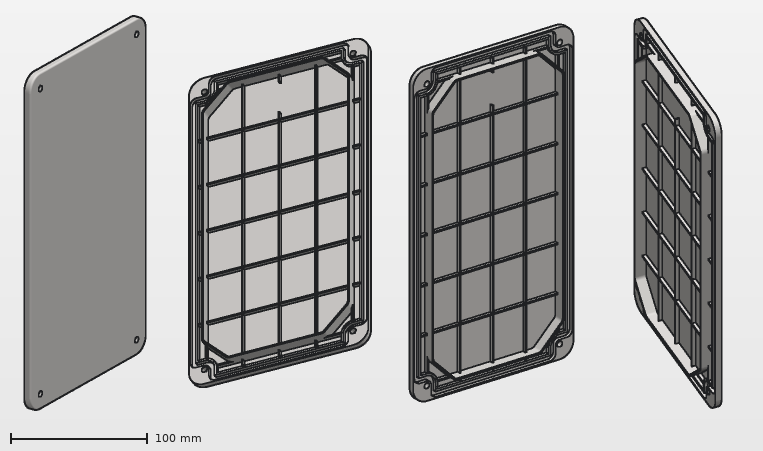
import cadquery as cq

THICKNESS = 11.5
WIDTH = 145.0
HEIGHT = 270.0
HALF_WIDTH = WIDTH / 2
HALF_HEIGHT = HEIGHT / 2

FLANGE_X = 5.75
FLOOR_X = 9.0
TONGUE_X = 6.0
RIB_X = 6.0
FRAME_X = 0.0

CORNER_RADIUS = 12.5
BACK_EDGE_FILLET = 1.5
RIM_WALL = 1.2
SCREW_INSET = CORNER_RADIUS
SCREW_DIAMETER = 4.5
SCREW_PAD_RADIUS = 3.7
POCKET_CORNER_RADIUS = 5.0

TONGUE_GAP = 4.2
TONGUE_WIDTH = 1.8

WALL = 1.2
FRAME_INSET = 13.0
FRAME_CUT = 20.8
FRAME_FILLET = 5.0

CROSS_RIB_WIDTH = 1.2
LONG_RIB_WIDTH = 1.0
CROSS_RIB_PITCH = 40.6
CROSS_RIB_COUNT = 5
LONG_RIB_PITCH = 29.6
LONG_RIB_COUNT = 3
LONG_RIB_END_INSET = 8.5
LABEL_GAP_TOP_INSET = 20.0
LABEL_GAP_LENGTH = 27.0


def at_level(x):
    """YZ sketch plane at the given X."""
    return cq.Workplane("YZ", origin=(x, 0, 0))


def box(x_min, x_max, y_size, z_size, y=0.0, z=0.0):
    """Box between two X levels, centred on (y, z)."""
    return at_level(x_min).center(y, z).rect(y_size, z_size).extrude(x_max - x_min)


def notched_prism(inset, screw_clearance, x_min, x_max, corner_fillet=0.0):
    """Rectangle whose corners are notched around the screws by concentric arcs."""
    body = box(x_min, x_max, WIDTH - 2 * inset, HEIGHT - 2 * inset)
    notch_size = 2 * (SCREW_INSET + screw_clearance)
    notches = (
        at_level(x_min)
        .rect(WIDTH, HEIGHT, forConstruction=True)
        .vertices()
        .rect(notch_size, notch_size)
        .extrude(x_max - x_min)
        .edges("|X")
        .fillet(screw_clearance)
    )
    body = body.cut(notches)
    if corner_fillet > 0:
        y_edge = HALF_WIDTH - inset
        z_edge = HALF_HEIGHT - inset
        y_step = HALF_WIDTH - notch_size / 2
        z_step = HALF_HEIGHT - notch_size / 2
        for y_corner, z_corner in ((y_edge, z_step), (y_step, z_edge)):
            for y_side in (-1, 1):
                for z_side in (-1, 1):
                    point = (x_max, y_side * y_corner, z_side * z_corner)
                    body = body.edges("|X").edges(cq.NearestToPointSelector(point)).fillet(corner_fillet)
    return body


def make_plate():
    plate = box(FLANGE_X, THICKNESS, WIDTH, HEIGHT).edges("|X").fillet(CORNER_RADIUS)
    return plate.faces(">X").edges().fillet(BACK_EDGE_FILLET)


def make_pocket():
    return notched_prism(RIM_WALL, SCREW_PAD_RADIUS, FLANGE_X, FLOOR_X, POCKET_CORNER_RADIUS)


def make_tongue(inner_area):
    outer = notched_prism(RIM_WALL + TONGUE_GAP, SCREW_PAD_RADIUS + TONGUE_GAP, TONGUE_X, FLOOR_X)
    return outer.cut(inner_area)


def make_frame():
    """Tall octagonal wall: a rectangle with cut and rounded corners."""
    y_size = WIDTH - 2 * FRAME_INSET
    z_size = HEIGHT - 2 * FRAME_INSET
    outer = box(FRAME_X, FLOOR_X, y_size, z_size).edges("|X").chamfer(FRAME_CUT)
    outer = outer.edges("|X").fillet(FRAME_FILLET)
    inner = outer.faces("<X").wires().toPending().offset2D(-WALL).extrude(FLOOR_X - FRAME_X, combine=False)
    return outer.cut(inner)


def make_ribs():
    """Rib grid and the low rectangle of ribs that carries the frame into the corners."""
    ribs = box(RIB_X, FLOOR_X, WIDTH - 2 * FRAME_INSET, HEIGHT - 2 * FRAME_INSET).cut(
        box(RIB_X, FLOOR_X, WIDTH - 2 * (FRAME_INSET + WALL), HEIGHT - 2 * (FRAME_INSET + WALL))
    )
    for index in range(CROSS_RIB_COUNT):
        z = (index - (CROSS_RIB_COUNT - 1) / 2) * CROSS_RIB_PITCH
        ribs = ribs.union(box(RIB_X, FLOOR_X, WIDTH, CROSS_RIB_WIDTH, z=z))
    long_rib_length = HEIGHT - 2 * LONG_RIB_END_INSET
    for index in range(LONG_RIB_COUNT):
        y = (index - (LONG_RIB_COUNT - 1) / 2) * LONG_RIB_PITCH
        ribs = ribs.union(box(RIB_X, FLOOR_X, LONG_RIB_WIDTH, long_rib_length, y=y))
    label_gap_z = HALF_HEIGHT - LABEL_GAP_TOP_INSET - LABEL_GAP_LENGTH / 2
    return ribs.cut(box(RIB_X, FLOOR_X, LONG_RIB_PITCH, LABEL_GAP_LENGTH, z=label_gap_z))


def make_screw_holes():
    return (
        at_level(FLANGE_X)
        .rect(WIDTH - 2 * SCREW_INSET, HEIGHT - 2 * SCREW_INSET, forConstruction=True)
        .vertices()
        .circle(SCREW_DIAMETER / 2)
        .extrude(THICKNESS - FLANGE_X)
    )


tongue_inset = RIM_WALL + TONGUE_GAP + TONGUE_WIDTH
tongue_clearance = SCREW_PAD_RADIUS + TONGUE_GAP + TONGUE_WIDTH
inner_area = notched_prism(tongue_inset, tongue_clearance, RIB_X, FLOOR_X)

result = (
    make_plate()
    .cut(make_pocket())
    .union(make_tongue(inner_area))
    .union(make_ribs().intersect(inner_area))
    .union(make_frame())
    .cut(make_screw_holes())
)